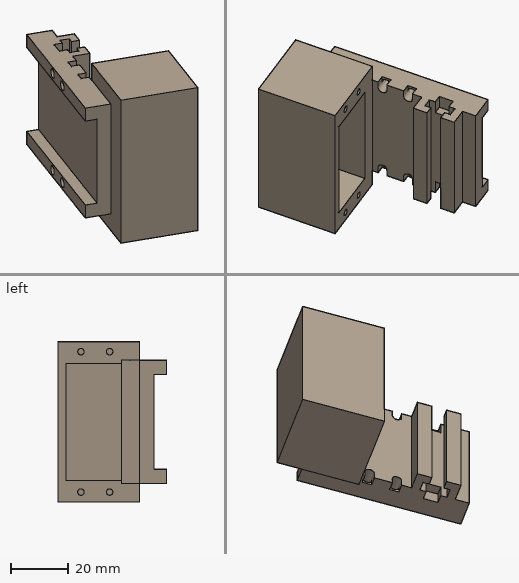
import cadquery as cq

plate_length = 60.1
plate_thickness = 9.45
plate_height = 43.0
lip_height = 5.1
recess_depth = 4.4

screw_diameter = 3.4
screw_xs = (26.5, 36.5)
screw_z = (plate_height - lip_height) / 2
notch_depth = 3.1

rail_left = 5.15
rail_width = 16.0
rail_depth = 6.35
rail_wall = 3.0
slot_lip_thickness = 2.95
slot_opening = 5.35
rail_center = rail_left + rail_width / 2
key_pocket_height = lip_height

box_right = 70.5
box_width = 30.0
box_depth = 28.5
box_height = 56.0
box_left = box_right - box_width
box_wall = 2.8
cavity_depth = 19.9
cavity_height = 40.75
cavity_width = box_width - box_wall

pilot_diameter = 2.25
pilot_length = 9.9
pilot_rear_margin = 8.05
pilot_spacing = 10.0
pilot_end_margin = 3.5
pilot_rear_y = box_depth - pilot_rear_margin
pilot_ys = (pilot_rear_y - pilot_spacing, pilot_rear_y)
pilot_z = box_height / 2 - pilot_end_margin


def block(x, y, z, length, depth, height):
    """Box whose minimum corner is at (x, y, z)."""
    return cq.Workplane("XY").box(length, depth, height, centered=False).translate((x, y, z))


def mid_block(x, y, length, depth, height):
    """Box with minimum X and Y given, centred on Z = 0."""
    return block(x, y, -height / 2, length, depth, height)


def make_plate():
    plate = mid_block(0, -plate_thickness, plate_length, plate_thickness, plate_height)
    recess_height = plate_height - 2 * lip_height
    return plate.cut(mid_block(0, -plate_thickness, plate_length, recess_depth, recess_height))


def make_rail():
    rail = mid_block(rail_left, 0, rail_width, rail_depth, plate_height)
    slot_width = rail_width - 2 * rail_wall
    slot_depth = rail_depth - slot_lip_thickness
    slot = mid_block(rail_left + rail_wall, 0, slot_width, slot_depth, plate_height)
    opening = mid_block(rail_center - slot_opening / 2, 0, slot_opening, rail_depth, plate_height)
    return rail.cut(slot).cut(opening)


def make_box():
    box = mid_block(box_left, 0, box_width, box_depth, box_height)
    cavity_y = box_depth - box_wall - cavity_depth
    box = box.cut(mid_block(box_left, cavity_y, cavity_width, cavity_depth, cavity_height))
    pilots = (
        cq.Workplane("YZ", origin=(box_left, 0, 0))
        .pushPoints([(y, z) for y in pilot_ys for z in (-pilot_z, pilot_z)])
        .circle(pilot_diameter / 2)
        .extrude(pilot_length)
    )
    return box.cut(pilots)


def cut_screw_holes(body):
    """Cut each screw hole and the rear notch that joins it to the nearest plate edge."""
    notch_height = plate_height / 2 - screw_z
    for x in screw_xs:
        for z, notch_bottom in ((screw_z, screw_z), (-screw_z, -plate_height / 2)):
            hole = (
                cq.Workplane("XZ", origin=(x, 0, z))
                .circle(screw_diameter / 2)
                .extrude(plate_thickness)
            )
            notch = block(
                x - screw_diameter / 2, -notch_depth, notch_bottom,
                screw_diameter, notch_depth, notch_height,
            )
            body = body.cut(hole).cut(notch)
    return body


def cut_key_pockets(body):
    """Cut a shallow pocket in the slot floor at both ends of the rail."""
    left = rail_center - slot_opening / 2
    for z in (plate_height / 2 - key_pocket_height, -plate_height / 2):
        body = body.cut(block(left, -notch_depth, z, slot_opening, notch_depth, key_pocket_height))
    return body


body = make_plate().union(make_rail()).union(make_box())
result = cut_key_pockets(cut_screw_holes(body))